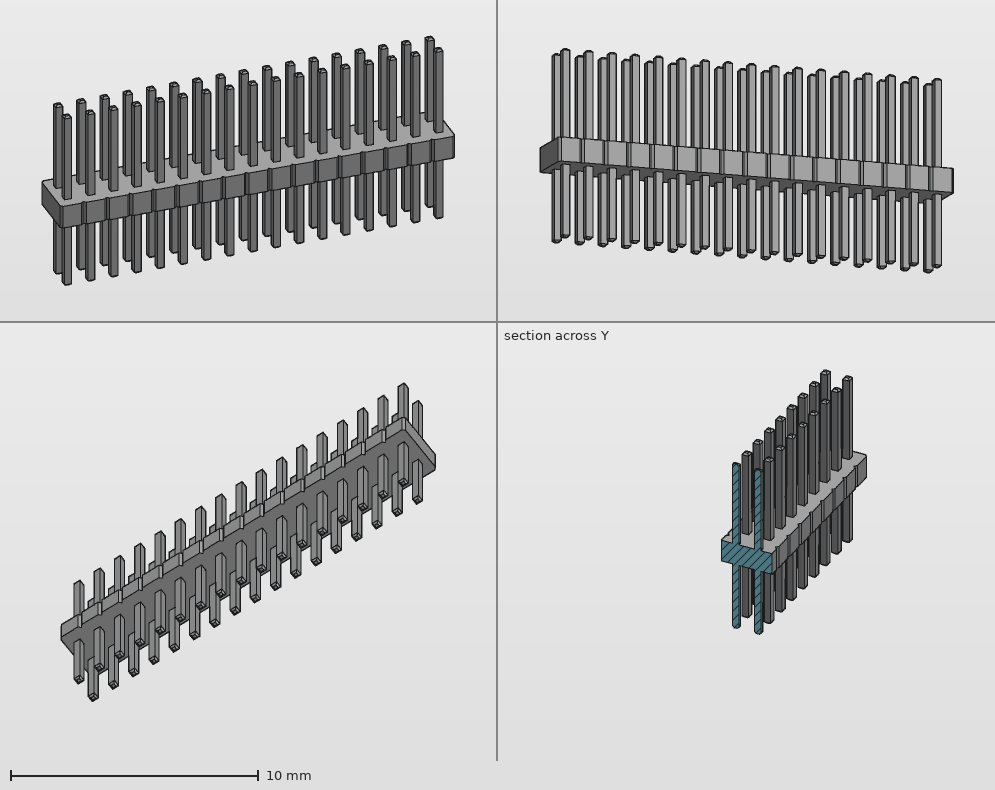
import cadquery as cq

PITCH = 1.0
COLUMNS = 2
ROWS = 17

BODY_WIDTH = 2.3
BODY_HEIGHT = 1.0
BODY_BEVEL = 0.1

PIN_SIZE = 0.3
PIN_ABOVE_BODY = 3.8
PIN_BELOW_BODY = 3.0
PIN_BEVEL = 0.08
PIN_LENGTH = PIN_BELOW_BODY + BODY_HEIGHT + PIN_ABOVE_BODY


def centred_positions(count):
    """Coordinates of evenly pitched items, centred on zero."""
    return [(i - (count - 1) / 2) * PITCH for i in range(count)]


def make_body():
    """Row of blocks standing on Z = 0; their bevelled corners form the V notches."""
    row_centres = [(0, y) for y in centred_positions(ROWS)]
    block = (
        cq.Workplane("XY")
        .box(BODY_WIDTH, PITCH, BODY_HEIGHT, centered=(True, True, False))
        .edges("|Z")
        .chamfer(BODY_BEVEL)
    )
    return (
        cq.Workplane("XY")
        .pushPoints(row_centres)
        .eachpoint(lambda loc: block.val().located(loc), combine=True)
        .clean()
    )


def make_pins():
    """All pins, each running through the body from lower tip to upper tip."""
    pin = (
        cq.Workplane("XY")
        .box(PIN_SIZE, PIN_SIZE, PIN_LENGTH, centered=(True, True, False))
        .faces("<Z or >Z")
        .chamfer(PIN_BEVEL)
    )
    pin_centres = [(x, y) for x in centred_positions(COLUMNS) for y in centred_positions(ROWS)]
    return (
        cq.Workplane("XY", origin=(0, 0, -PIN_BELOW_BODY))
        .pushPoints(pin_centres)
        .eachpoint(lambda loc: pin.val().located(loc))
    )


result = make_body().union(make_pins())